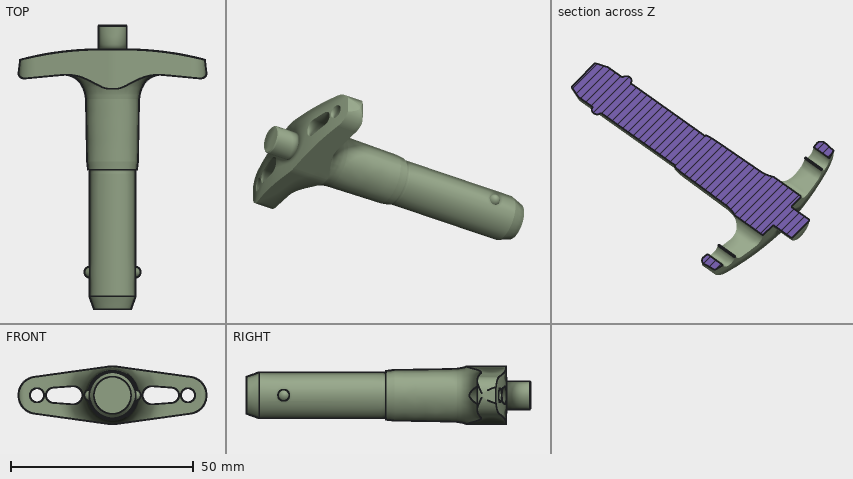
import cadquery as cq
import math


hub_radius = 7.94
end_radius = 5.1
end_offset = 20.625

crown_flat_radius = 4.0
crown_radius = 80.0
crown_edge_radius = 25.3
handle_rim_radius = 25.94
underside_rim_depth = 8.2
handle_rim_fillet = 1.5

flare_corner_radius = 8.4
flare_corner_depth = 6.4
flare_radius = 6.3

collar_top_radius = 7.3
collar_top_depth = 13.6
collar_bottom_radius = 7.0
collar_bottom_depth = 30.65
collar_end_radius = 6.72
collar_end_depth = 32.95

shank_radius = 6.35
neck_radius = 6.25
neck_length = 1.05
tip_radius = 5.08
tip_chamfer_length = 3.55

button_radius = 3.9
button_height = 6.6
button_chamfer = 0.3

overall_length = 77.72
shank_depth = overall_length - button_height

ball_radius = 1.55
ball_reach = 7.7
ball_to_tip = 10.2

lanyard_hole_radius = 1.9
slot_outer_radius = 2.05
slot_outer_offset = 16.1
slot_inner_radius = 2.45
slot_inner_offset = 10.7


def tapered_outline(centre_a, radius_a, centre_b, radius_b):
    """Outline in X-Z of two circles on the X axis joined by their common tangents."""
    lean = (radius_a - radius_b) / (centre_b - centre_a)
    rise = math.sqrt(1 - lean**2)
    a_x = centre_a + radius_a * lean
    a_z = radius_a * rise
    b_x = centre_b + radius_b * lean
    b_z = radius_b * rise
    return (
        cq.Workplane("XZ")
        .moveTo(a_x, a_z)
        .lineTo(b_x, b_z)
        .threePointArc((centre_b + radius_b, 0), (b_x, -b_z))
        .lineTo(a_x, -a_z)
        .threePointArc((centre_a - radius_a, 0), (a_x, a_z))
        .close()
    )


def through(outline):
    """Extrude an X-Z outline over more than the whole pin length."""
    return outline.extrude(overall_length, both=True)


def crown_depth(radius):
    """Drop of the domed crown below its flat centre."""
    run = radius - crown_flat_radius
    return crown_radius - math.sqrt(crown_radius**2 - run**2)


def rounded_corner(before, corner, after, radius):
    """Start, middle and end of the arc that rounds the corner between two straight lines."""
    corner = cq.Vector(*corner)
    to_before = (cq.Vector(*before) - corner).normalized()
    to_after = (cq.Vector(*after) - corner).normalized()
    half_angle = to_before.getAngle(to_after) / 2
    setback = radius / math.tan(half_angle)
    middle_distance = radius / math.sin(half_angle) - radius
    start = corner + to_before * setback
    middle = corner + (to_before + to_after).normalized() * middle_distance
    end = corner + to_after * setback
    return start, middle, end


def turned_body():
    """Handle disc, collar and shank as one revolved section."""
    crown_mid_radius = (crown_flat_radius + crown_edge_radius) / 2
    crown_mid = (crown_mid_radius, -crown_depth(crown_mid_radius))
    crown_edge = (crown_edge_radius, -crown_depth(crown_edge_radius))
    rim_corner = (handle_rim_radius, -underside_rim_depth)
    flare_corner = (flare_corner_radius, -flare_corner_depth)
    collar_top = (collar_top_radius, -collar_top_depth)
    rim_start, rim_middle, rim_end = rounded_corner(
        crown_edge, rim_corner, flare_corner, handle_rim_fillet
    )
    flare_start, flare_middle, flare_end = rounded_corner(
        rim_corner, flare_corner, collar_top, flare_radius
    )
    section = (
        cq.Workplane("XY")
        .lineTo(crown_flat_radius, 0)
        .threePointArc(crown_mid, crown_edge)
        .lineTo(rim_start.x, rim_start.y)
        .threePointArc(rim_middle, rim_end)
        .lineTo(flare_start.x, flare_start.y)
        .threePointArc(flare_middle, flare_end)
        .lineTo(*collar_top)
        .lineTo(collar_bottom_radius, -collar_bottom_depth)
        .lineTo(collar_end_radius, -collar_end_depth)
        .lineTo(neck_radius, -collar_end_depth)
        .lineTo(shank_radius, -collar_end_depth - neck_length)
        .lineTo(shank_radius, tip_chamfer_length - shank_depth)
        .lineTo(tip_radius, -shank_depth)
        .lineTo(0, -shank_depth)
        .close()
    )
    return section.revolve(360, (0, 0), (0, 1))


def handle_outline():
    """Both flanked arms, joined at the hub."""
    right_arm = through(tapered_outline(0, hub_radius, end_offset, end_radius))
    return right_arm.union(right_arm.mirror("YZ"))


def push_button():
    """Chamfered button standing on the crown."""
    button = cq.Workplane("XZ").circle(button_radius).extrude(-button_height)
    return button.faces(">Y").chamfer(button_chamfer)


def locking_ball(side):
    """Ball partly sunk in the shank on the +X (side = 1) or -X (side = -1) side."""
    centre = (side * (ball_reach - ball_radius), ball_to_tip - shank_depth, 0)
    return cq.Workplane("YZ").sphere(ball_radius).translate(centre)


def arm_openings():
    """Lanyard hole and lightening slot of the +X arm."""
    hole = through(cq.Workplane("XZ").center(end_offset, 0).circle(lanyard_hole_radius))
    slot = through(
        tapered_outline(slot_inner_offset, slot_inner_radius, slot_outer_offset, slot_outer_radius)
    )
    return hole.union(slot)


openings = arm_openings()
result = turned_body().intersect(handle_outline())
result = result.cut(openings).cut(openings.mirror("YZ"))
result = result.union(push_button())
for side in (-1, 1):
    result = result.union(locking_ball(side))